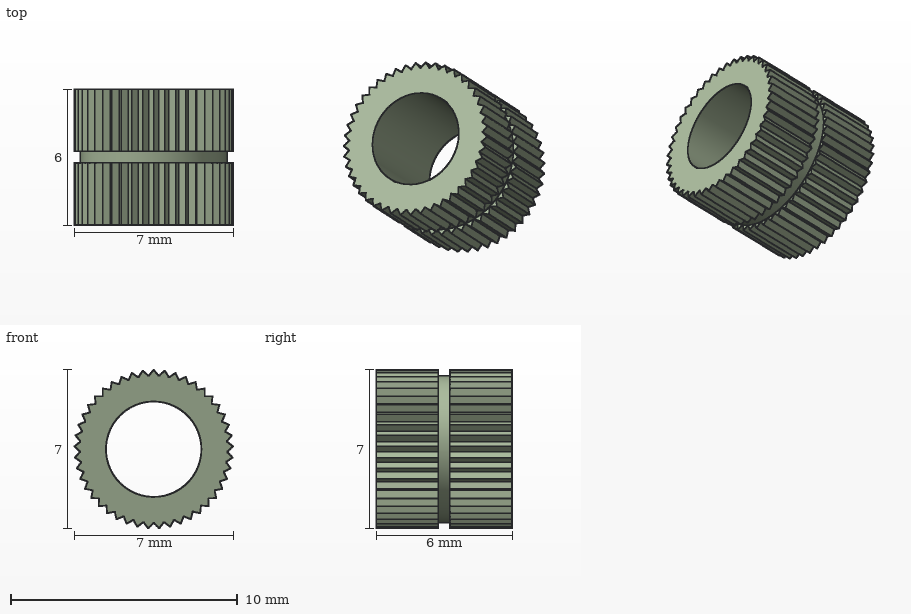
import cadquery as cq
import math

overall_width = 7.0
length = 6.0
tooth_count = 45
bore_radius = 2.1
groove_width = 0.505

pitch_angle = 2 * math.pi / tooth_count
tip_radius = overall_width / 2 / math.cos(pitch_angle / 4)

root_radius = tip_radius * (math.cos(pitch_angle / 2) - math.sin(pitch_angle / 2))

band_length = (length - groove_width) / 2


def polar_point(radius, angle):
    """Point in the XZ plane, with the angle measured from +Z."""
    return (radius * math.sin(angle), radius * math.cos(angle))


def knurl_outline():
    """Alternating tooth tips and sharp roots around the Y axis."""
    points = []
    for tooth in range(tooth_count):
        tip_angle = tooth * pitch_angle
        points.append(polar_point(tip_radius, tip_angle))
        points.append(polar_point(root_radius, tip_angle + pitch_angle / 2))
    return points


def section(back_y):
    """XZ sketch plane at the given Y; extrusions from it run toward -Y."""
    return cq.Workplane("XZ", origin=(0, back_y, 0))


def knurled_band(back_y):
    return section(back_y).polyline(knurl_outline()).close().extrude(band_length)


back_band = knurled_band(length / 2)
front_band = knurled_band(-groove_width / 2)
neck = section(groove_width / 2).circle(root_radius).extrude(groove_width)
bore = section(length / 2).circle(bore_radius).extrude(length)

result = back_band.union(neck).union(front_band).cut(bore)